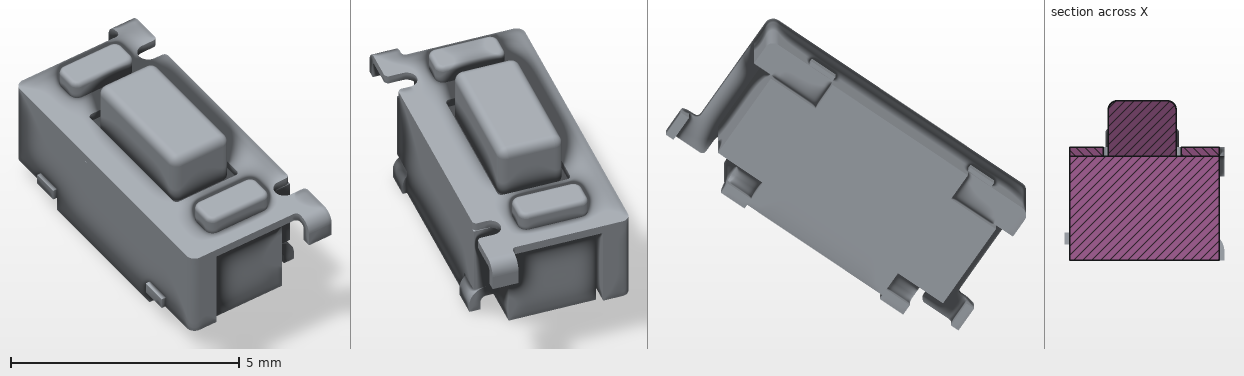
import cadquery as cq


overall_width = 7.8
overall_height = 3.51
body_width = 6.9
body_depth = 3.3
lead_reach = 0.1
front_y = -body_depth / 2
back_y = body_depth / 2
rear_reach_y = back_y + lead_reach
corner_radius = 0.2

cover_top = 2.495
cover_thickness = 0.2
cover_bottom = cover_top - cover_thickness
arm_front_y = 1.15
arm_tip_z = 1.85
arm_bend_inner = 0.1
arm_bend_outer = arm_bend_inner + cover_thickness
small_radius = 0.1
slot_radius = 0.24
slot_inner_x = 2.41
slot_center_x = slot_inner_x + slot_radius
slot_outer_x = slot_center_x + slot_radius
slot_center_y = 1.35

mechanism_y = -lead_reach / 2
button_width = 3.0
button_depth = 1.5
button_radius = 0.2
window_gap = 0.2
window_width = button_width + 2 * window_gap
window_depth = button_depth + window_gap
window_radius = 0.1

waist_width = 6.0
waist_front_y = -1.0
waist_back_y = arm_front_y - small_radius
rear_block_width = 4.85
foot_gap = 0.335

post_width = 0.725
post_depth = 1.615
post_top = 2.91
post_corner_radius = 0.195
post_edge_radius = 0.1
post_x = (waist_width - post_width) / 2

lead_outer_x = rear_block_width / 2
lead_width = 0.625
lead_thickness = 0.26
lead_top = 0.62
lead_bottom = lead_top - lead_thickness
lead_x = lead_outer_x - lead_width / 2
lead_inner_x = lead_outer_x - lead_width
lead_bend_inner = 0.15
lead_bend_outer = lead_bend_inner + lead_thickness

SIDES = (-1, 1)


def box(x_range, y_range, z_range):
    """Axis-aligned box between the given limits."""
    size = [high - low for low, high in (x_range, y_range, z_range)]
    start = (x_range[0], y_range[0], z_range[0])
    return cq.Workplane("XY").box(*size, centered=False).translate(start)


def side_range(side, inner, outer):
    """X limits of a stretch between two distances from the YZ plane."""
    return sorted((side * inner, side * outer))


def post_shape(side, bottom, top):
    """Upright rounded bar at one end of the housing."""
    return (
        cq.Workplane("XY", origin=(side * post_x, mechanism_y, bottom))
        .rect(post_width, post_depth)
        .extrude(top - bottom)
        .edges("|Z")
        .fillet(post_corner_radius)
    )


def make_housing_block():
    """Body that is widest at the front, narrower at the waist and narrowest at the rear."""
    block = (
        cq.Workplane("XY")
        .moveTo(0, front_y)
        .lineTo(body_width / 2, front_y)
        .lineTo(body_width / 2, waist_front_y)
        .lineTo(waist_width / 2, waist_front_y)
        .lineTo(waist_width / 2, waist_back_y)
        .lineTo(rear_block_width / 2, waist_back_y)
        .lineTo(rear_block_width / 2, back_y)
        .lineTo(0, back_y)
        .mirrorY()
        .extrude(cover_bottom)
    )
    block = block.edges("|Z and <Y").fillet(corner_radius)
    for side in SIDES:
        corner_x = side_range(side, lead_inner_x, body_width / 2)
        block = block.cut(box(corner_x, (front_y, waist_front_y), (0, foot_gap)))
        rear_x = side_range(side, lead_inner_x, lead_outer_x)
        block = block.cut(box(rear_x, (waist_back_y, back_y), (0, lead_top)))
    return block


def make_rear_lead(side):
    """Strip that leaves the housing level and bends down to the mounting face."""
    inner_y = rear_reach_y - lead_thickness
    bend_y = rear_reach_y - lead_bend_outer
    bend_z = lead_top - lead_bend_outer
    return (
        cq.Workplane("YZ", origin=(side * lead_x, 0, 0))
        .moveTo(waist_back_y, lead_top)
        .lineTo(bend_y, lead_top)
        .radiusArc((rear_reach_y, bend_z), lead_bend_outer)
        .lineTo(rear_reach_y, 0)
        .lineTo(inner_y, 0)
        .lineTo(inner_y, bend_z)
        .radiusArc((bend_y, lead_bottom), -lead_bend_inner)
        .lineTo(waist_back_y, lead_bottom)
        .close()
        .extrude(lead_width / 2, both=True)
    )


def make_housing():
    """Housing block with its cover posts, bent rear leads and front lead stubs."""
    housing = make_housing_block()
    for side in SIDES:
        post = post_shape(side, cover_bottom, post_top).faces(">Z").edges().fillet(post_edge_radius)
        stub_x = side_range(side, lead_inner_x, lead_outer_x)
        stub = box(stub_x, (front_y - lead_reach, front_y), (lead_bottom, lead_top))
        housing = housing.union(post).union(make_rear_lead(side)).union(stub)
    return housing


def make_cover_plate():
    """Flat plate over the full width and depth of the housing."""
    plate = box(
        (-body_width / 2, body_width / 2), (front_y, back_y), (cover_bottom, cover_top)
    )
    return plate.edges("|Z and <Y").fillet(corner_radius)


def make_cover_arm(side):
    """Side arm at the rear corner, bent down around an axis along Y."""
    tip_x = overall_width / 2
    bend_x = tip_x - arm_bend_outer
    bend_z = cover_top - arm_bend_outer
    inner_x = tip_x - cover_thickness
    arm = (
        cq.Workplane("XZ", origin=(0, rear_reach_y, 0))
        .moveTo(slot_center_x, cover_top)
        .lineTo(bend_x, cover_top)
        .radiusArc((tip_x, bend_z), arm_bend_outer)
        .lineTo(tip_x, arm_tip_z)
        .lineTo(inner_x, arm_tip_z)
        .lineTo(inner_x, bend_z)
        .radiusArc((bend_x, cover_bottom), -arm_bend_inner)
        .lineTo(slot_center_x, cover_bottom)
        .close()
        .extrude(rear_reach_y - arm_front_y)
    )
    return arm if side > 0 else arm.mirror("YZ")


def make_slot(side):
    """Round-bottomed slot, open to the rear, between an arm and the tongue."""
    open_y = rear_reach_y + slot_radius
    slot = (
        cq.Workplane("XY", origin=(0, 0, cover_bottom))
        .moveTo(slot_inner_x, open_y)
        .lineTo(slot_inner_x, slot_center_y)
        .threePointArc((slot_center_x, slot_center_y - slot_radius), (slot_outer_x, slot_center_y))
        .lineTo(slot_outer_x, open_y)
        .close()
        .extrude(cover_thickness)
    )
    return slot if side > 0 else slot.mirror("YZ")


def make_cover():
    """Sheet-metal cover with bent arms, slots, a button window and openings for the posts."""
    cover = make_cover_plate()
    for side in SIDES:
        cover = cover.union(make_cover_arm(side)).cut(make_slot(side))
    mid_z = (cover_bottom + cover_top) / 2
    for side in SIDES:
        rounded_corners = (
            (side * slot_inner_x, back_y),
            (side * slot_outer_x, rear_reach_y),
            (side * body_width / 2, arm_front_y),
        )
        for x, y in rounded_corners:
            corner = cq.selectors.NearestToPointSelector((x, y, mid_z))
            cover = cover.edges("|Z").edges(corner).fillet(small_radius)
    window = (
        cq.Workplane("XY", origin=(0, mechanism_y, cover_bottom))
        .rect(window_width, window_depth)
        .extrude(cover_thickness)
        .edges("|Z")
        .fillet(window_radius)
    )
    cover = cover.cut(window)
    for side in SIDES:
        cover = cover.cut(post_shape(side, cover_bottom, cover_top))
    return cover


def make_button():
    """Push button that stands on the housing inside the window."""
    return (
        cq.Workplane("XY", origin=(0, mechanism_y, cover_bottom))
        .rect(button_width, button_depth)
        .extrude(overall_height - cover_bottom)
        .edges("|Z or >Z")
        .fillet(button_radius)
    )


housing = make_housing()
cover = make_cover()
button = make_button()

result = cq.Compound.makeCompound([body.solids().val() for body in (housing, cover, button)])